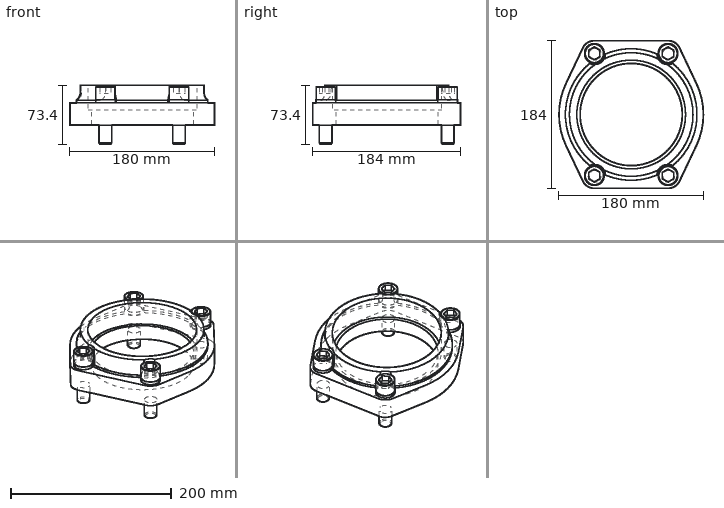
import cadquery as cq
import math

plate_radius = 90.0
plate_length = 184.0
plate_thickness = 28.0
corner_radius = 16.0

bolt_x = 45.8
bolt_y = plate_length / 2 - corner_radius
shank_diameter = 16.0
shank_reach = 23.4
shank_chamfer = 1.3
head_diameter = 24.0
head_height = 16.0
head_chamfer = 0.5
socket_width = 14.0
socket_depth = 8.0
washer_diameter = 24.5
washer_thickness = 3.7

ring_height = 22.0
ring_top_radius = 77.0
neck_radius = 77.3
neck_height = 12.0
foot_radius = 81.9
foot_height = 3.1
bolt_clearance_diameter = 27.6

bore_diameter = 127.0
upper_bore_diameter = 135.5
upper_bore_depth = 30.5

bolt_points = [(side_x * bolt_x, side_y * bolt_y) for side_x in (-1, 1) for side_y in (-1, 1)]
ring_top = plate_thickness + ring_height


def make_plate():
    """Flange whose sides run tangent from the large arcs to the corner arcs."""
    center_distance = math.hypot(bolt_x, bolt_y)
    tangent_angle = math.atan2(bolt_y, bolt_x) - math.acos((plate_radius - corner_radius) / center_distance)
    corner_mid_angle = (tangent_angle + math.pi / 2) / 2

    def on_corner(angle):
        return (bolt_x + corner_radius * math.cos(angle), bolt_y + corner_radius * math.sin(angle))

    def mirrored(point, side_x, side_y):
        return (side_x * point[0], side_y * point[1])

    side = (plate_radius * math.cos(tangent_angle), plate_radius * math.sin(tangent_angle))
    corner_start = on_corner(tangent_angle)
    corner_mid = on_corner(corner_mid_angle)
    corner_end = on_corner(math.pi / 2)
    return (
        cq.Workplane("XY")
        .moveTo(*mirrored(side, 1, -1))
        .threePointArc((plate_radius, 0), side)
        .lineTo(*corner_start)
        .threePointArc(corner_mid, corner_end)
        .lineTo(*mirrored(corner_end, -1, 1))
        .threePointArc(mirrored(corner_mid, -1, 1), mirrored(corner_start, -1, 1))
        .lineTo(*mirrored(side, -1, 1))
        .threePointArc((-plate_radius, 0), mirrored(side, -1, -1))
        .lineTo(*mirrored(corner_start, -1, -1))
        .threePointArc(mirrored(corner_mid, -1, -1), mirrored(corner_end, -1, -1))
        .lineTo(*mirrored(corner_end, 1, -1))
        .threePointArc(mirrored(corner_mid, 1, -1), mirrored(corner_start, 1, -1))
        .close()
        .extrude(plate_thickness)
    )


def make_ring():
    """Slightly tapered ring that flares out in a concave arc to a short foot."""
    foot_top = plate_thickness + foot_height
    neck_bottom = plate_thickness + neck_height
    profile = (
        cq.Workplane("XZ")
        .lineTo(0, ring_top)
        .lineTo(ring_top_radius, ring_top)
        .lineTo(neck_radius, neck_bottom)
        .tangentArcPoint((foot_radius, foot_top), relative=False)
        .lineTo(foot_radius, 0)
        .close()
    )
    ring = profile.revolve(360, (0, 0, 0), (0, 1, 0))
    clearance = (
        cq.Workplane("XY")
        .workplane(offset=plate_thickness)
        .pushPoints(bolt_points)
        .circle(bolt_clearance_diameter / 2)
        .extrude(ring_height)
    )
    return ring.cut(clearance)


def make_bolt():
    """Socket head cap screw with its washer, on the Z axis."""
    head_base = plate_thickness + washer_thickness
    shank = (
        cq.Workplane("XY")
        .workplane(offset=-shank_reach)
        .circle(shank_diameter / 2)
        .extrude(shank_reach + head_base)
        .faces("<Z")
        .chamfer(shank_chamfer)
    )
    washer = (
        cq.Workplane("XY")
        .workplane(offset=plate_thickness)
        .circle(washer_diameter / 2)
        .extrude(washer_thickness)
    )
    head = (
        cq.Workplane("XY")
        .workplane(offset=head_base)
        .circle(head_diameter / 2)
        .extrude(head_height)
        .faces(">Z")
        .chamfer(head_chamfer)
    )
    socket = (
        cq.Workplane("XY")
        .workplane(offset=head_base + head_height - socket_depth)
        .transformed(rotate=(0, 0, 90))
        .polygon(6, socket_width / math.cos(math.pi / 6))
        .extrude(socket_depth)
    )
    return shank.union(washer).union(head).cut(socket)


def make_bore():
    """Through bore with a wider upper length."""
    through = cq.Workplane("XY").circle(bore_diameter / 2).extrude(ring_top)
    upper = (
        cq.Workplane("XY")
        .workplane(offset=ring_top - upper_bore_depth)
        .circle(upper_bore_diameter / 2)
        .extrude(upper_bore_depth)
    )
    return through.union(upper)


result = make_plate().union(make_ring()).cut(make_bore())
bolt = make_bolt()
for x, y in bolt_points:
    result = result.union(bolt.translate((x, y, 0)))